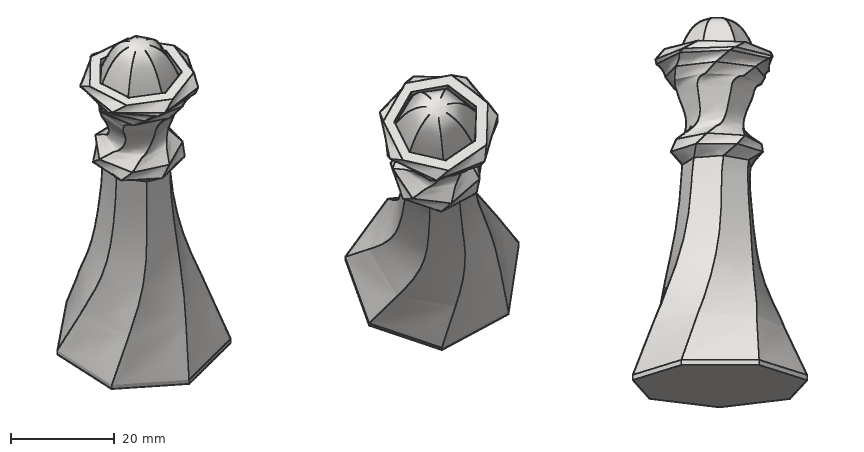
import cadquery as cq
import math

SIDES = 7
SIDE_ANGLE = 360 / SIDES
TOTAL_HEIGHT = 73.0

FOOT_TOP = 1.0
BASE_TOP = 11.25
SHAFT_TOP = 44.2
COLLAR_WIDEST = 46.1
COLLAR_SHOULDER = 48.2
COLLAR_TOP = 50.15
NECK_TOP = 58.0
FLARE_LOW = 60.0
FLARE_HIGH = 62.0
CROWN_LOW = 63.95
CROWN_WIDEST = 64.6
CROWN_TOP = 66.15

CROWN_TWIST = 160.5
RECESS_RADIUS = 8.25
RECESS_DEPTH = 1.75
DOME_CENTER = (-0.255, -0.1)
RECESS_FLOOR = CROWN_TOP - RECESS_DEPTH
DOME_RINGS = [
    (RECESS_FLOOR, 8.2, 158.5),
    (66.4, 7.3, 158.0),
    (68.6, 6.35, 157.7),
    (70.8, 5.0, 157.3),
    (72.3, 3.3, 156.5),
    (72.85, 1.6, 156.0),
]

FOOT_RADIUS = 17.2
FOOT_CENTER = (0.0, 0.9)
FOOT_TOP_RING = (FOOT_TOP, FOOT_RADIUS, 0.0, FOOT_CENTER)
BASE_TOP_RING = (BASE_TOP, 13.2, 10.0, (0.0, 0.0))
SHAFT_RINGS = [
    BASE_TOP_RING,
    (17.5, 11.0, 19.0, (-0.1, -0.45)),
    (22.6, 9.5, 25.7, (-0.11, -0.6)),
    (28.2, 8.3, 30.6, (-0.255, -0.475)),
    (35.05, 7.4, 33.0, (-0.4, -0.33)),
    (SHAFT_TOP, 6.85, 35.0, (-0.55, -0.11)),
]
COLLAR_RINGS = [
    SHAFT_RINGS[-1],
    (COLLAR_WIDEST, 9.1, 51.0, (-0.45, -0.2)),
    (COLLAR_SHOULDER, 8.7, 64.3, (-0.45, -0.255)),
    (COLLAR_TOP, 6.5, 77.5, (-0.4, -0.3)),
]
NECK_RINGS = [
    COLLAR_RINGS[-1],
    (50.6, 6.1, 83.5, (-0.33, -0.3)),
    (51.5, 5.85, 90.4, (-0.33, -0.33)),
    (52.8, 5.85, 96.0, (-0.3, -0.33)),
    (55.4, 6.65, 99.2, (-0.3, -0.3)),
    (NECK_TOP, 7.6, 100.3, (-0.3, -0.33)),
]
FLARE_RINGS = [
    NECK_RINGS[-1],
    (59.1, 8.0, 103.5, (-0.255, -0.33)),
    (FLARE_LOW, 8.75, 115.5, (-0.18, -0.33)),
]
UPPER_FLARE_RING = (FLARE_HIGH, 9.85, 129.0, (-0.11, -0.33))
UNDERCROWN_RINGS = [
    UPPER_FLARE_RING,
    (62.9, 10.2, 135.5, (-0.15, -0.3)),
    (CROWN_LOW, 11.45, 142.0, (-0.15, -0.255)),
]
CROWN_RINGS = [
    UNDERCROWN_RINGS[-1],
    (CROWN_WIDEST, 11.7, 147.5, (-0.11, -0.255)),
    (CROWN_TOP, 10.5, CROWN_TWIST, (-0.15, -0.18)),
]


def heptagon(height, radius, twist, center):
    """Regular seven-sided wire whose first corner points to -Y before twisting."""
    corners = []
    for side in range(SIDES):
        angle = math.radians(twist - 90 + side * SIDE_ANGLE)
        x = center[0] + radius * math.cos(angle)
        y = center[1] + radius * math.sin(angle)
        corners.append(cq.Vector(x, y, height))
    return cq.Wire.makePolygon(corners, close=True)


def smooth_band(rings):
    """One smooth band running through all the rings."""
    return cq.Workplane(cq.Solid.makeLoft([heptagon(*ring) for ring in rings], False))


def straight_bands(rings):
    """A band with straight edges between each ring and the next."""
    return cq.Workplane(cq.Solid.makeLoft([heptagon(*ring) for ring in rings], True))


def prism(floor, top, radius, twist, center):
    """Straight seven-sided block between two heights."""
    return straight_bands([(floor, radius, twist, center), (top, radius, twist, center)])


def dome(rings):
    """Smooth seven-sided dome through the rings, closing to a point on its axis."""
    tip = cq.Vertex.makeVertex(*DOME_CENTER, TOTAL_HEIGHT)
    wires = [heptagon(*ring, DOME_CENTER) for ring in rings]
    return cq.Workplane(cq.occ_impl.shapes.loft(*wires, tip, cap=True))


bands = [
    straight_bands([FOOT_TOP_RING, BASE_TOP_RING]),
    smooth_band(SHAFT_RINGS),
    straight_bands(COLLAR_RINGS),
    smooth_band(NECK_RINGS),
    smooth_band(FLARE_RINGS),
    straight_bands([FLARE_RINGS[-1], UPPER_FLARE_RING]),
    smooth_band(UNDERCROWN_RINGS),
    straight_bands(CROWN_RINGS),
]
queen = prism(0, *FOOT_TOP_RING)
for band in bands:
    queen = queen.union(band)

recess = prism(RECESS_FLOOR, CROWN_TOP, RECESS_RADIUS, CROWN_TWIST, DOME_CENTER)
result = queen.cut(recess).union(dome(DOME_RINGS))